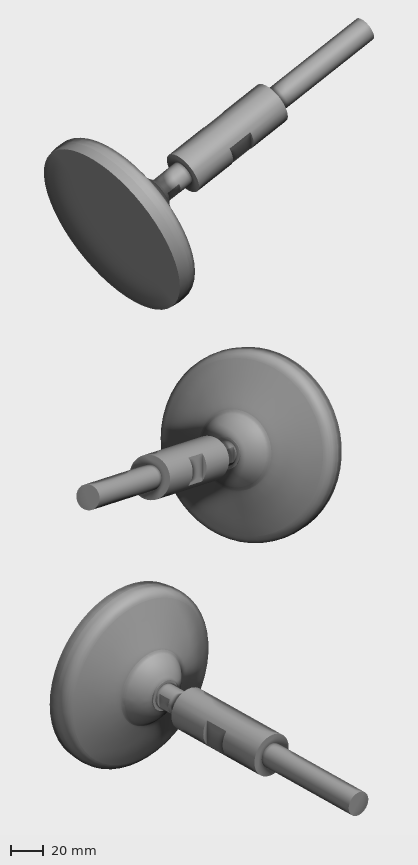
import cadquery as cq
import math


foot_radius = 60.03
rim_radius = 60
sole_radius = 59.3
sole_height = 6.0
rim_start = 9.0
rim_round = 7.5
cone_angle = math.radians(19.5)
dome_radius = 29.0
dome_centre = 10.5
dome_blend = 3.9
collar_radius = 10.0
collar_height = 1.3

overall_length = 214
spindle_radius = 8.02
spindle_start = 39.2
spindle_flat_start = 40.9
spindle_flat_length = 9.6
spindle_across_flats = 13.0

sleeve_radius = 14.02
sleeve_start = 60.1
sleeve_length = 75.1
sleeve_flat_length = 17.5
sleeve_across_flats = 22.0


def cylinder_along_y(radius, start, length):
    """Solid cylinder on the Y axis, from start towards +Y."""
    return cq.Workplane("XZ", origin=(0, start, 0)).circle(radius).extrude(-length)


def cut_two_flats(body, radius, across_flats, start, length):
    """Cut a pair of wrench flats facing -X and +X."""
    depth = radius - across_flats / 2
    for side in (-1, 1):
        cutter = cq.Workplane("XY").box(depth, length, 2 * radius).translate(
            (side * (radius - depth / 2), start + length / 2, 0)
        )
        body = body.cut(cutter)
    return body


def make_foot():
    """Dished foot with a rounded rim, a domed hub and a small collar on top."""
    rim_centre = rim_radius - rim_round
    cone_outer_radius = rim_centre + rim_round * math.sin(cone_angle)
    cone_outer_height = rim_start + rim_round * math.cos(cone_angle)
    middle_angle = (cone_angle + math.pi / 2) / 2
    rim_middle = (
        rim_centre + rim_round * math.sin(middle_angle),
        rim_start + rim_round * math.cos(middle_angle),
    )

    cone_distance = (
        cone_outer_radius * math.sin(cone_angle)
        + (cone_outer_height - dome_centre) * math.cos(cone_angle)
    )
    meeting_angle = cone_angle + math.acos(cone_distance / dome_radius)

    def dome_point(angle):
        return (dome_radius * math.sin(angle), dome_centre + dome_radius * math.cos(angle))

    meeting_point = dome_point(meeting_angle)
    collar_base = spindle_start - collar_height
    dome_top_radius = math.sqrt(dome_radius**2 - (collar_base - dome_centre) ** 2)
    dome_top_angle = math.asin(dome_top_radius / dome_radius)

    foot = (
        cq.Workplane("XY")
        .lineTo(sole_radius, 0)
        .lineTo(foot_radius, sole_height)
        .lineTo(rim_radius, rim_start)
        .threePointArc(rim_middle, (cone_outer_radius, cone_outer_height))
        .lineTo(*meeting_point)
        .threePointArc(dome_point((meeting_angle + dome_top_angle) / 2), (dome_top_radius, collar_base))
        .lineTo(collar_radius, spindle_start)
        .lineTo(0, spindle_start)
        .close()
        .revolve(360, (0, 0, 0), (0, 1, 0))
    )
    margin = 0.2
    reach = meeting_point[0] + margin
    blend_zone = cq.selectors.BoxSelector(
        (-reach, meeting_point[1] - margin, -reach),
        (reach, meeting_point[1] + margin, reach),
    )
    return foot.edges("%CIRCLE").edges(blend_zone).fillet(dome_blend)


def make_spindle():
    """Plain rod standing on the foot, with a pair of flats near its lower end."""
    rod = cylinder_along_y(spindle_radius, spindle_start, overall_length - spindle_start)
    return cut_two_flats(
        rod, spindle_radius, spindle_across_flats, spindle_flat_start, spindle_flat_length
    )


def make_sleeve():
    """Sleeve around the spindle, with a pair of flats at mid length."""
    tube = cylinder_along_y(sleeve_radius, sleeve_start, sleeve_length)
    bore = cylinder_along_y(spindle_radius, sleeve_start, sleeve_length)
    flat_start = sleeve_start + (sleeve_length - sleeve_flat_length) / 2
    return cut_two_flats(
        tube.cut(bore), sleeve_radius, sleeve_across_flats, flat_start, sleeve_flat_length
    )


foot = make_foot()
spindle = make_spindle()
sleeve = make_sleeve()

result = cq.Compound.makeCompound([body.solids().val() for body in (foot, spindle, sleeve)])